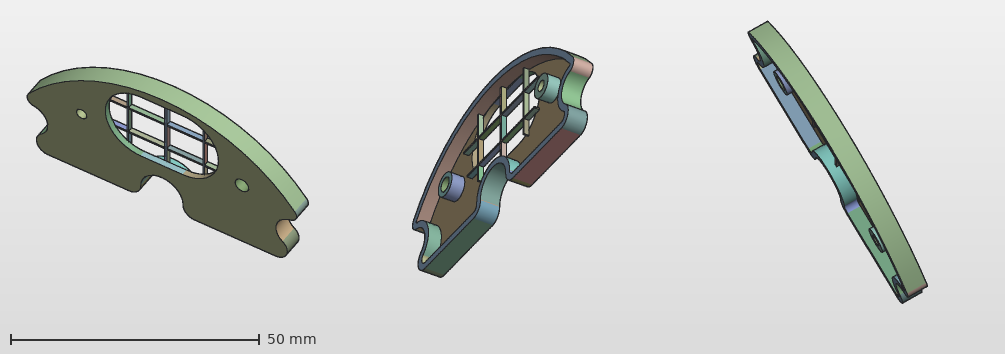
import cadquery as cq
import math

thickness = 4.5
height = 30.28
half_width = 31.94
wall = 1.5
face_thickness = 1.5

crown_radius = 40.3
tip_radius = 1.8
foot_radius = 2.8
foot_half_width = 29.75
side_notch_radius = 4.0
bridge_radius = 5.0
bridge_center_z = 2.95

window_width = 26.8
window_height = 16.8
window_center_z = 19.9
bar_depth = 1.2
center_bar_width = 0.6
side_bar_width = 0.4
side_bar_x = 9.0
cross_bar_width = 0.4
cross_bar_heights = (15.0, 21.75)
bar_overlap = 1.5

hole_x = 19.0
hole_z = 15.95
left_hole_diameter = 2.4
right_hole_diameter = 3.2
boss_diameter = 5.4

crown_center = (0, height - crown_radius)
tip_x = half_width - tip_radius
tip_center = (tip_x, crown_center[1] + math.sqrt((crown_radius - tip_radius) ** 2 - tip_x**2))
foot_center = (foot_half_width - foot_radius, foot_radius)
inner_foot_center = (bridge_radius + foot_radius, foot_radius)
bridge_center = (0, bridge_center_z)


def polar(center, radius, angle):
    """Point on a circle, with the angle in radians."""
    return (center[0] + radius * math.cos(angle), center[1] + radius * math.sin(angle))


def direction(start, end):
    """Angle of the line from start to end, in radians."""
    return math.atan2(end[1] - start[1], end[0] - start[0])


def notch_center_between(tip, foot):
    """Centre of the side notch, which is tangent to both the tip arc and the foot arc."""
    to_tip = side_notch_radius + tip_radius
    to_foot = side_notch_radius + foot_radius
    span = math.dist(tip, foot)
    corner = math.acos((span**2 + to_tip**2 - to_foot**2) / (2 * span * to_tip))
    return polar(tip, to_tip, direction(tip, foot) + corner)


def mirrored(point):
    """Matching point on the left half."""
    return (-point[0], point[1])


side_notch_center = notch_center_between(tip_center, foot_center)


def outline_sketch(inset):
    """Plate outline moved inwards by inset, drawn on the front face."""
    crown = crown_radius - inset
    tip = tip_radius - inset
    foot = foot_radius - inset
    notch = side_notch_radius + inset
    bridge = bridge_radius + inset

    tip_angle = direction(crown_center, tip_center)
    tip_exit = direction(tip_center, side_notch_center)
    notch_entry = tip_exit + math.pi
    notch_exit = direction(side_notch_center, foot_center) + 2 * math.pi
    foot_entry = notch_exit - math.pi

    crown_end = polar(crown_center, crown, tip_angle)
    tip_arc = (polar(tip_center, tip, (tip_angle + tip_exit) / 2), polar(tip_center, tip, tip_exit))
    notch_arc = (
        polar(side_notch_center, notch, (notch_entry + notch_exit) / 2),
        polar(side_notch_center, notch, notch_exit),
    )
    foot_arc = (
        polar(foot_center, foot, (foot_entry - math.pi / 2) / 2),
        polar(foot_center, foot, -math.pi / 2),
    )
    inner_foot_start = polar(inner_foot_center, foot, -math.pi / 2)
    inner_foot_arc = (
        polar(inner_foot_center, foot, -3 * math.pi / 4),
        polar(inner_foot_center, foot, -math.pi),
    )
    bridge_start = polar(bridge_center, bridge, 0)
    bridge_top = polar(bridge_center, bridge, math.pi / 2)

    return (
        cq.Workplane("XZ")
        .moveTo(*mirrored(crown_end))
        .threePointArc(polar(crown_center, crown, math.pi / 2), crown_end)
        .threePointArc(*tip_arc)
        .threePointArc(*notch_arc)
        .threePointArc(*foot_arc)
        .lineTo(*inner_foot_start)
        .threePointArc(*inner_foot_arc)
        .lineTo(*bridge_start)
        .threePointArc(bridge_top, mirrored(bridge_start))
        .lineTo(*mirrored(inner_foot_arc[1]))
        .threePointArc(mirrored(inner_foot_arc[0]), mirrored(inner_foot_start))
        .lineTo(*mirrored(foot_arc[1]))
        .threePointArc(mirrored(foot_arc[0]), mirrored(notch_arc[1]))
        .threePointArc(mirrored(notch_arc[0]), mirrored(tip_arc[1]))
        .threePointArc(mirrored(tip_arc[0]), mirrored(crown_end))
        .close()
    )


def hollow_body():
    """Thin front face with a rim, open at the back."""
    cavity = outline_sketch(wall).extrude(-thickness).translate((0, face_thickness, 0))
    return outline_sketch(0).extrude(-thickness).cut(cavity)


def through_cylinder(x, z, diameter):
    """Cylinder along Y, as long as the plate is thick."""
    return cq.Workplane("XZ").center(x, z).circle(diameter / 2).extrude(-thickness)


def window():
    """Round-ended opening through the front face."""
    return (
        cq.Workplane("XZ")
        .center(0, window_center_z)
        .slot2D(window_width, window_height)
        .extrude(-face_thickness)
    )


def bar(x_size, z_size, x, z):
    """Grille bar lying against the back of the front face."""
    return (
        cq.Workplane("XY")
        .box(x_size, bar_depth, z_size)
        .translate((x, face_thickness + bar_depth / 2, z))
    )


def half_chord(offset, radius):
    """Half the length of a circle's chord lying at offset from its centre."""
    return math.sqrt(radius**2 - offset**2)


def grille():
    """Upright and cross bars spanning the window."""
    end_radius = window_height / 2
    flat_half = window_width / 2 - end_radius
    bars = bar(center_bar_width, window_height + 2 * bar_overlap, 0, window_center_z)
    side_length = 2 * (half_chord(side_bar_x - flat_half, end_radius) + bar_overlap)
    for x in (-side_bar_x, side_bar_x):
        bars = bars.union(bar(side_bar_width, side_length, x, window_center_z))
    for z in cross_bar_heights:
        cross_half = flat_half + half_chord(z - window_center_z, end_radius) + bar_overlap
        bars = bars.union(bar(2 * cross_half, cross_bar_width, 0, z))
    return bars


result = hollow_body().cut(window()).union(grille())
for x, diameter in ((-hole_x, left_hole_diameter), (hole_x, right_hole_diameter)):
    result = result.union(through_cylinder(x, hole_z, boss_diameter))
    result = result.cut(through_cylinder(x, hole_z, diameter))